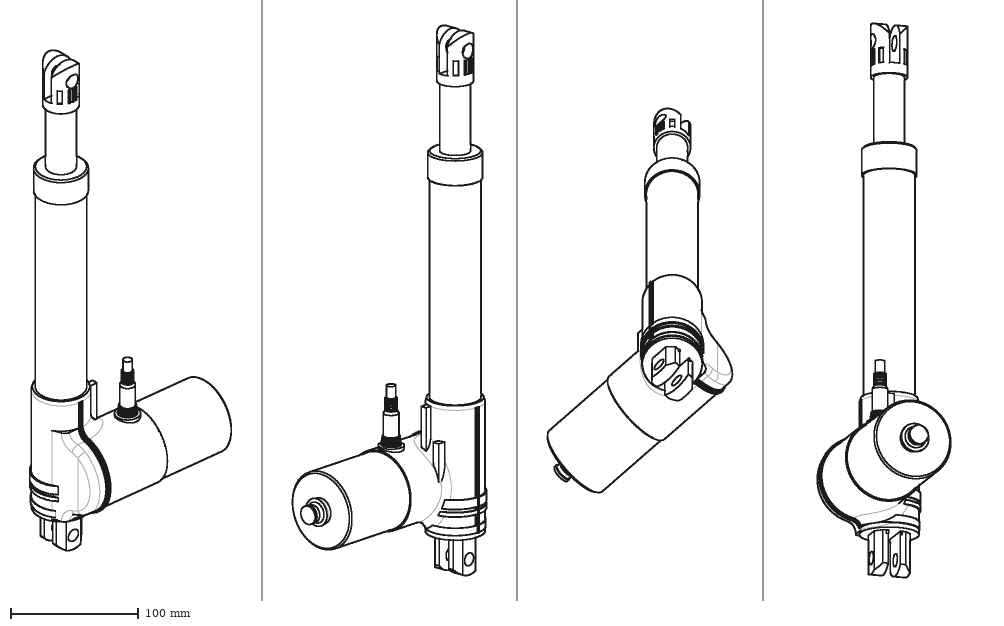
import cadquery as cq
import math


rear_end_z = -13.0
overall_length = 447.3
front_end_z = rear_end_z + overall_length
rear_end_y = 145.5

tang_width = 26.0
tang_thickness = 9.8
tang_gap = 10.0
tang_end_radius = 16.4
tang_corner_x = 5.2
tang_corner_y = 5.5
rear_pin_hole = 10.4
fork_collar_radius = 14.6
fork_collar_bottom = 17.6

body_bottom = 20.2
body_top = 130.8
body_radius = 23.5
body_rim_height = 3.2
body_rim_inset = 1.0
end_cap_land = 3.3
end_cap_step = 24.2
end_cap_top = 30.2
end_cap_lip = 0.5
end_cap_radius = 22.9
end_cap_notches = 24
end_cap_notch_width = 1.5
end_cap_notch_depth = 1.2

band_radius = 24.7
bands = ((39.6, 43.2), (45.8, 53.5))

motor_x = 23.4
motor_z = 63.0
housing_radius = 33.0
housing_front_y = -14.2
housing_rear_y = 61.8
housing_edge_fillet = 5.5
housing_blend = 8.8
web_half_height = 41.0
run_off = 40.0
front_blend_x = 12.3
front_blend_end_x = 36.3
motor_radius = 31.8
motor_rear_y = 130.5
motor_chamfer = 1.5
boss_length = rear_end_y - motor_rear_y
motor_boss_profile = [
    (10.5, 0.0),
    (11.3, 4.0),
    (11.3, 5.2),
    (8.5, 5.8),
    (7.0, boss_length - 6.0),
    (7.0, boss_length - 2.5),
    (7.6, boss_length - 2.2),
    (7.6, boss_length),
]

seam_width = 4.0
seam_ridge_width = 1.6
seam_ridge_height = 0.7
seam_base_height = 0.35
seam_bottom = 24.0
seam_right_x = 57.85

cable_x = 23.7
cable_y = 48.6
cable_profile = [
    (10.3, -2.0),
    (10.3, 1.5),
    (8.0, 2.2),
    (7.0, 9.0),
    (6.2, 9.5),
    (6.2, 28.0),
    (4.9, 30.5),
    (4.9, 40.5),
    (3.7, 41.0),
    (3.7, 51.0),
]
cable_groove_heights = [3.2, 5.2, 7.2, 31.5, 34.0, 36.5, 38.5]
cable_groove_width = 0.8
cable_groove_floor = 4.2

rib_x = 5.2
rib_width = 5.3
rib_rear_y = 28.2
rib_top = 127.5
lug_x = -9.0
lug_width = 6.0
lug_rear_y = 29.0
lug_top = 101.0

tube_radius = 20.3
tube_cap_radius = 21.6
tube_cap_bottom = 312.3
tube_cap_top = 334.3
tube_cap_chamfer = 1.5
rod_radius = 12.2

head_radius = 14.5
head_bottom = 391.9
head_pin_z = front_end_z - head_radius
head_pin_hole = 12.0
head_slot_width = 8.6
head_slot_bottom = 400.3
window_bottom = 400.8
window_top = 412.8
window_width = 4.0
window_depth = 1.8
groove_width = 1.6
groove_pitch = 3.4
groove_depth = 1.2


def rod(radius, bottom, top):
    """Cylinder on the Z axis between two heights."""
    return cq.Workplane("XY").workplane(offset=bottom).circle(radius).extrude(top - bottom)


def block(x_range, y_range, z_range):
    """Box given by its limits on each axis."""
    (x0, x1), (y0, y1), (z0, z1) = x_range, y_range, z_range
    return cq.Workplane("XY").box(x1 - x0, y1 - y0, z1 - z0, centered=False).translate((x0, y0, z0))


def cross_bar(radius, x, z, y_start, y_end):
    """Cylinder parallel to Y between two Y positions."""
    plane = cq.Plane(origin=(x, y_start, z), xDir=(1, 0, 0), normal=(0, 1, 0))
    return cq.Workplane(plane).circle(radius).extrude(y_end - y_start)


def pin_hole(diameter, z):
    """Cutter for a cross hole along X."""
    length = 4 * tube_cap_radius
    return cq.Workplane("YZ").center(0, z).circle(diameter / 2).extrude(length / 2, both=True)


def turned(profile):
    """Solid of revolution about Z from (radius, height) points, closed on the axis."""
    points = [(0, profile[0][1])] + profile + [(0, profile[-1][1])]
    return cq.Workplane("XZ").polyline(points).close().revolve(360, (0, 0, 0), (0, 1, 0))


def outline_prism(body_edge, housing_edge, y_range):
    """Side outline of body and housing, joined by concave arcs, extruded along Y."""
    y_start, y_end = y_range
    column = block((0, body_edge), y_range, (seam_bottom - run_off, body_top + run_off))
    drum = cross_bar(housing_edge - motor_x, motor_x, motor_z, y_start, y_end)
    prism = column.union(drum)
    reach = housing_radius + 2 * housing_blend
    box = cq.selectors.BoxSelector(
        (body_edge - 1, y_start - 1, motor_z - reach),
        (body_edge + 1, y_end + 1, motor_z + reach),
    )
    return prism.edges("|Y").edges(box).fillet(housing_blend)


def make_body():
    """Round body with a chamfered upper rim."""
    body = rod(body_radius, body_bottom, body_top)
    return body.faces(">Z").chamfer(body_rim_height, body_rim_inset)


def make_rear_housing():
    """Round motor housing behind the seam, blended all round into the body."""
    column = rod(body_radius, seam_bottom - run_off, body_top + run_off)
    drum = cross_bar(housing_radius, motor_x, motor_z, housing_front_y, housing_rear_y)
    joined = column.union(drum).edges("%BSPLINE").fillet(housing_blend)
    far = 2 * housing_rear_y
    return joined.intersect(block((-far, far), (0, far), (body_bottom, body_top - body_rim_height)))


def make_front_housing():
    """Housing in front of the seam: a concave web from the body to a flat, rounded front face."""
    start_y = -math.sqrt(body_radius**2 - front_blend_x**2)
    rise = housing_front_y - start_y
    run = front_blend_end_x - front_blend_x
    arc_radius = (run**2 + rise**2) / (2 * rise)
    half_angle = math.atan2(rise, run)
    middle = (
        front_blend_end_x - arc_radius * math.sin(half_angle),
        housing_front_y - arc_radius * (1 - math.cos(half_angle)),
    )
    right_x = motor_x + 2 * housing_radius
    plan = (
        cq.Workplane("XY")
        .moveTo(front_blend_x, 0)
        .lineTo(front_blend_x, start_y)
        .threePointArc(middle, (front_blend_end_x, housing_front_y))
        .lineTo(right_x, housing_front_y)
        .lineTo(right_x, 0)
        .close()
        .extrude(body_top + run_off)
    )
    web = outline_prism(body_radius, motor_x + housing_radius, (-2 * body_radius, 0)).intersect(plan)
    front_edges = cq.selectors.BoxSelector(
        (front_blend_x + 1, start_y, 0), (right_x, housing_front_y + 2, body_top)
    )
    web = web.edges("not %LINE").edges(front_edges).fillet(housing_edge_fillet)
    web_heights = (motor_z - web_half_height, motor_z + web_half_height)
    return web.intersect(block((0, right_x), (-2 * body_radius, 0), web_heights))


def make_seam_layer(width, height, left_x):
    """Band over the joint plane that stands proud of body and housing by the given height."""
    y_range = (-width / 2, width / 2)
    right_x = seam_right_x - seam_ridge_height + height
    z_range = (seam_bottom, body_top - body_rim_height)
    band = outline_prism(body_radius + height, right_x, y_range)
    band = band.intersect(block((0, right_x), y_range, z_range))
    return band.union(block((left_x, 0), y_range, z_range))


def make_seam():
    """Parting seam: a wide flat base with a narrow ridge along its middle."""
    base = make_seam_layer(seam_width, seam_base_height, -body_radius - seam_base_height)
    ridge = make_seam_layer(seam_ridge_width, seam_ridge_height, -band_radius)
    return base.union(ridge)


def make_end_cap():
    """Stepped and notched lower rim of the body."""
    cap = turned([
        (end_cap_radius, body_bottom),
        (end_cap_radius, body_bottom + end_cap_land),
        (body_radius + end_cap_lip, end_cap_step),
        (body_radius + end_cap_lip, end_cap_top),
    ])
    for index in range(end_cap_notches):
        notch = block(
            (end_cap_radius - end_cap_notch_depth, 2 * end_cap_radius),
            (-end_cap_notch_width / 2, end_cap_notch_width / 2),
            (body_bottom, body_bottom + end_cap_land),
        )
        cap = cap.cut(notch.rotate((0, 0, 0), (0, 0, 1), index * 360 / end_cap_notches))
    return cap


def make_bands():
    """Raised rings around the lower body."""
    solid = rod(band_radius, *bands[0])
    for bottom, top in bands[1:]:
        solid = solid.union(rod(band_radius, bottom, top))
    return solid


def make_rear_ribs():
    """Upright rib and short lug standing on the rear of the body."""
    rib = block((rib_x, rib_x + rib_width), (0, rib_rear_y), (motor_z, rib_top))
    lug = block((lug_x, lug_x + lug_width), (0, lug_rear_y), (motor_z, lug_top))
    return rib.union(lug)


def make_motor():
    """Motor can with a chamfered rear edge and a turned end boss."""
    can = cross_bar(motor_radius, motor_x, motor_z, 0, motor_rear_y)
    can = can.faces(">Y").chamfer(motor_chamfer)
    boss = turned(motor_boss_profile).rotate((0, 0, 0), (1, 0, 0), -90)
    return can.union(boss.translate((motor_x, motor_rear_y, motor_z)))


def make_cable_entry():
    """Ribbed strain relief with the cable standing on the housing."""
    entry = turned(cable_profile)
    for groove_z in cable_groove_heights:
        ring = rod(2 * cable_groove_floor, groove_z, groove_z + cable_groove_width)
        entry = entry.cut(ring.cut(rod(cable_groove_floor, groove_z, groove_z + cable_groove_width)))
    return entry.translate((cable_x, cable_y, motor_z + housing_radius))


def make_tang():
    """Tang of the rear fork on the +X side, with bevelled outer corners and a rounded end."""
    inner_x = tang_gap / 2
    outer_x = inner_x + tang_thickness
    half_width = tang_width / 2
    tang = (
        cq.Workplane("XY")
        .workplane(offset=rear_end_z)
        .polyline([
            (inner_x, -half_width),
            (outer_x - tang_corner_x, -half_width),
            (outer_x, -half_width + tang_corner_y),
            (outer_x, half_width - tang_corner_y),
            (outer_x - tang_corner_x, half_width),
            (inner_x, half_width),
        ])
        .close()
        .extrude(body_bottom - rear_end_z)
    )
    end_center_z = rear_end_z + tang_end_radius
    rounding = pin_hole(2 * tang_end_radius, end_center_z)
    upper = block((0, outer_x), (-half_width, half_width), (end_center_z, body_bottom))
    return tang.intersect(rounding.union(upper))


def make_rear_fork():
    """Two mirrored tangs below a round collar, drilled for the pin."""
    tang = make_tang()
    gap = (-tang_gap / 2, tang_gap / 2)
    collar = rod(fork_collar_radius, fork_collar_bottom, body_bottom).cut(
        block(gap, (-fork_collar_radius, fork_collar_radius), (fork_collar_bottom, body_bottom))
    )
    return tang.union(tang.mirror("YZ")).union(collar).cut(pin_hole(rear_pin_hole, 0))


def make_tube():
    """Outer tube with its end cap, and the piston rod leaving it."""
    tube = rod(tube_radius, body_top - body_rim_height, tube_cap_bottom)
    cap = rod(tube_cap_radius, tube_cap_bottom, tube_cap_top).faces(">Z").chamfer(tube_cap_chamfer)
    return tube.union(cap).union(rod(rod_radius, tube_cap_bottom, head_bottom))


def make_head():
    """Slotted front fork with a half-round end, corner windows and side grooves."""
    head = rod(head_radius, head_bottom, front_end_z)
    flat_block = block(
        (-head_radius, head_radius), (-head_radius, head_radius), (head_bottom, head_pin_z)
    )
    head = head.intersect(flat_block.union(pin_hole(2 * head_radius, head_pin_z)))
    slot = block(
        (-head_slot_width / 2, head_slot_width / 2),
        (-head_radius, head_radius),
        (head_slot_bottom, front_end_z),
    )
    head = head.cut(slot).cut(pin_hole(head_pin_hole, head_pin_z))
    heights = (window_bottom, window_top)
    for index in range(4):
        window = block(
            (head_radius - window_depth, 2 * head_radius), (-window_width / 2, window_width / 2), heights
        )
        head = head.cut(window.rotate((0, 0, 0), (0, 0, 1), 45 + 90 * index))
    for index in (-1, 0, 1):
        center_y = index * groove_pitch
        groove = block(
            (head_radius - groove_depth, 2 * head_radius),
            (center_y - groove_width / 2, center_y + groove_width / 2),
            heights,
        )
        head = head.cut(groove).cut(groove.mirror("YZ"))
    return head


result = make_body()
for section in (
    make_rear_housing(),
    make_front_housing(),
    make_motor(),
    make_cable_entry(),
    make_rear_ribs(),
    make_seam(),
    make_bands(),
    make_end_cap(),
    make_rear_fork(),
    make_tube(),
    make_head(),
):
    result = result.union(section)